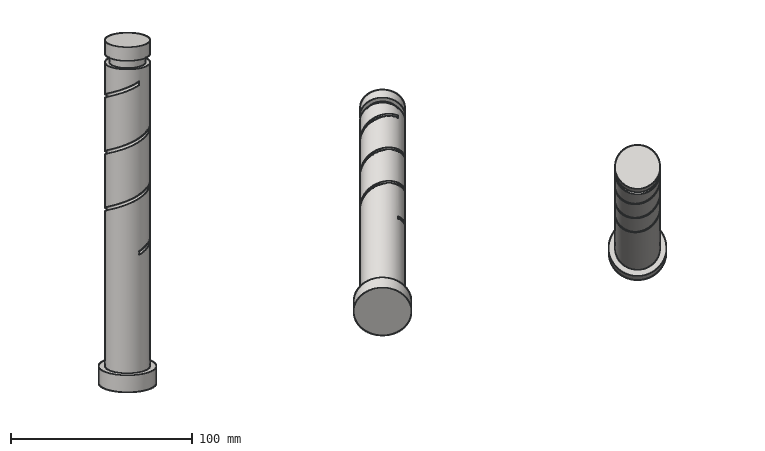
import cadquery as cq

total_length = 200.0
head_diameter = 32.0
head_height = 10.0
shaft_diameter = 25.0
shaft_radius = shaft_diameter / 2

neck_diameter = 20.0
neck_width = 5.0
end_collar_height = 8.0

helix_pitch = 33.0
helix_turns = 3
helix_start_height = 79.5
oil_groove_radius = 1.0


def make_pin():
    """Plain shaft standing on its wider head."""
    head = cq.Workplane("XY").circle(head_diameter / 2).extrude(head_height)
    shaft = cq.Workplane("XY").circle(shaft_radius).extrude(total_length)
    return head.union(shaft)


def make_retaining_groove():
    """Ring that leaves only the neck below the end collar."""
    bottom = total_length - end_collar_height - neck_width
    return (
        cq.Workplane("XY")
        .workplane(offset=bottom)
        .circle(shaft_diameter)
        .circle(neck_diameter / 2)
        .extrude(neck_width)
    )


def make_oil_groove():
    """Round cord wound on the shaft surface, cutting a half-round groove."""
    helix = cq.Wire.makeHelix(helix_pitch, helix_pitch * helix_turns, shaft_radius)
    cord = (
        cq.Workplane("XZ")
        .center(shaft_radius, 0)
        .circle(oil_groove_radius)
        .sweep(cq.Workplane(obj=helix), isFrenet=True)
    )
    return cord.translate((0, 0, helix_start_height))


result = make_pin().cut(make_retaining_groove()).cut(make_oil_groove())